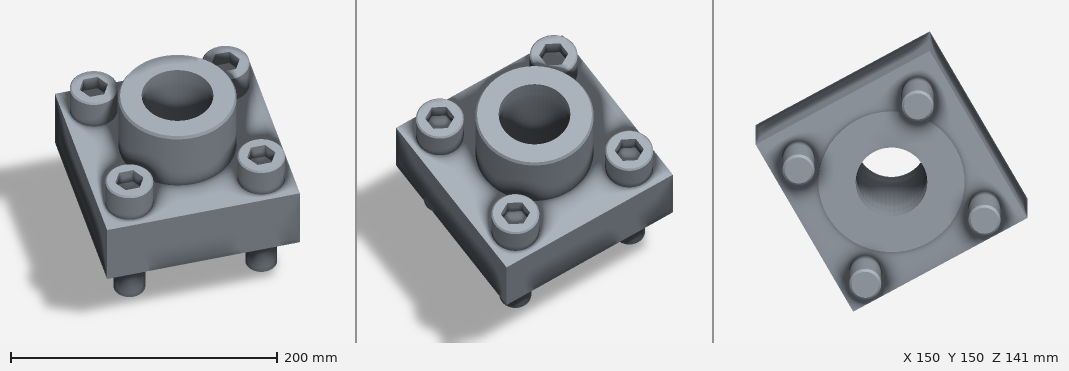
import cadquery as cq
import math

flange_side = 150.0
flange_thickness = 51.9

collar_diameter = 89.0
collar_height = 51.0
collar_chamfer_height = 2.2
collar_chamfer_width = 1.4
bore_diameter = 53.8

spigot_diameter = 110.0
spigot_height = 1.8

screw_diameter = 24.0
screw_pitch = 102.6
screw_reach = 38.1
screw_tip_chamfer = 1.8
head_diameter = 36.0
head_height = screw_diameter
head_chamfer = 1.2
socket_width = 19.0
socket_depth = screw_diameter / 2
socket_corner_diameter = socket_width / math.cos(math.pi / 6)


def make_flange():
    block = cq.Workplane("XY").rect(flange_side, flange_side).extrude(-flange_thickness)
    collar = (
        cq.Workplane("XY")
        .circle(collar_diameter / 2)
        .extrude(collar_height)
        .faces(">Z")
        .chamfer(collar_chamfer_height, collar_chamfer_width)
    )
    spigot = (
        cq.Workplane("XY", origin=(0, 0, -flange_thickness))
        .circle(spigot_diameter / 2)
        .extrude(-spigot_height)
    )
    bore = (
        cq.Workplane("XY", origin=(0, 0, collar_height))
        .circle(bore_diameter / 2)
        .extrude(-(collar_height + flange_thickness + spigot_height))
    )
    return block.union(collar).union(spigot).cut(bore)


def make_screw():
    shank = (
        cq.Workplane("XY")
        .circle(screw_diameter / 2)
        .extrude(-(flange_thickness + screw_reach))
        .faces("<Z")
        .chamfer(screw_tip_chamfer)
    )
    head = (
        cq.Workplane("XY")
        .circle(head_diameter / 2)
        .extrude(head_height)
        .faces(">Z")
        .chamfer(head_chamfer)
    )
    socket = (
        cq.Workplane("XY", origin=(0, 0, head_height))
        .transformed(rotate=(0, 0, 90))
        .polygon(6, socket_corner_diameter)
        .extrude(-socket_depth)
    )
    return shank.union(head).cut(socket)


result = make_flange()
screw = make_screw()
for x_side in (-1, 1):
    for y_side in (-1, 1):
        screw_position = (x_side * screw_pitch / 2, y_side * screw_pitch / 2, 0)
        result = result.union(screw.translate(screw_position))